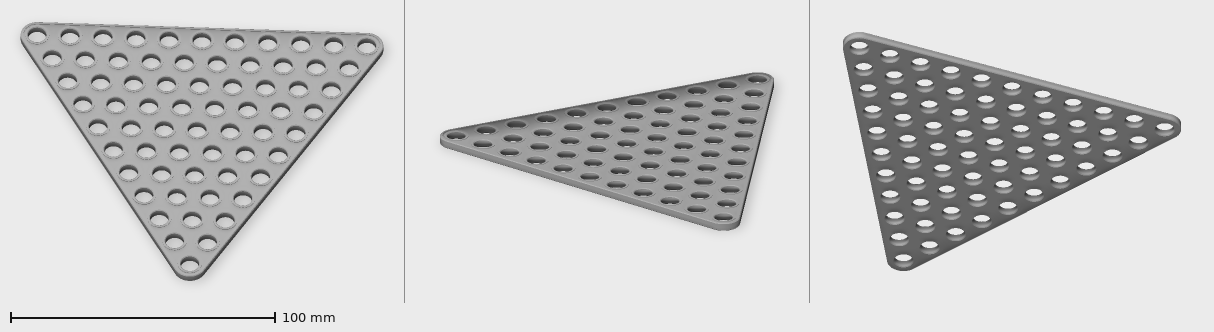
import cadquery as cq
import math

LONGEST_SIDE = 137.5
HOLES_PER_SIDE = 11
THICKNESS = 3.2
HOLE_DIAMETER = 7.0
COLLAR_DIAMETER = 9.2
RECESS_DEPTH = 0.2
EDGE_CHAMFER = 0.3
TRIANGLE_ANGLE = 60

PITCH = LONGEST_SIDE / HOLES_PER_SIDE
CORNER_RADIUS = PITCH / 2
ROW_SPACING = PITCH * math.sin(math.radians(TRIANGLE_ANGLE))

RIM_WIDTH = (COLLAR_DIAMETER - HOLE_DIAMETER) / 2


def hole_centres():
    """Triangular grid of holes: each row has one hole fewer than the row below."""
    centres = []
    for row in range(HOLES_PER_SIDE):
        holes_in_row = HOLES_PER_SIDE - row
        first_x = -PITCH * (holes_in_row - 1) / 2
        for column in range(holes_in_row):
            centres.append((first_x + column * PITCH, row * ROW_SPACING))
    return centres


def rounded_triangle(corner_radius, height):
    """Prism over the triangle of corner holes, grown outwards by the corner radius."""
    gaps_per_side = HOLES_PER_SIDE - 1
    half_base = PITCH * gaps_per_side / 2
    corners = [
        (-half_base, 0),
        (half_base, 0),
        (0, ROW_SPACING * gaps_per_side),
    ]
    outline = cq.Workplane("XY").polyline(corners).close().offset2D(corner_radius, "arc")
    return outline.extrude(height)


def top_recess():
    """Shallow recess in the top face, leaving an outer rim and a collar round each hole."""
    collars = cq.Workplane("XY").pushPoints(hole_centres()).circle(COLLAR_DIAMETER / 2)
    recess = rounded_triangle(CORNER_RADIUS - RIM_WIDTH, RECESS_DEPTH)
    recess = recess.cut(collars.extrude(RECESS_DEPTH))
    return recess.translate((0, 0, THICKNESS - RECESS_DEPTH))


def chamfered_holes():
    """Cutters for all the through holes, each widened by a chamfer at both faces."""
    radius = HOLE_DIAMETER / 2
    mouth_radius = radius + EDGE_CHAMFER
    half_profile = [
        (0, 0),
        (mouth_radius, 0),
        (radius, EDGE_CHAMFER),
        (radius, THICKNESS - EDGE_CHAMFER),
        (mouth_radius, THICKNESS),
        (0, THICKNESS),
    ]
    hole = cq.Workplane("XZ").polyline(half_profile).close().revolve(360, (0, 0), (0, 1)).val()
    copies = [hole.moved(cq.Location(cq.Vector(x, y, 0))) for x, y in hole_centres()]
    return cq.Compound.makeCompound(copies)


plate = rounded_triangle(CORNER_RADIUS, THICKNESS)
plate = plate.faces("<Z or >Z").chamfer(EDGE_CHAMFER)
plate = plate.cut(top_recess())
plate = plate.cut(chamfered_holes())

result = cq.Workplane(plate.solids().val())